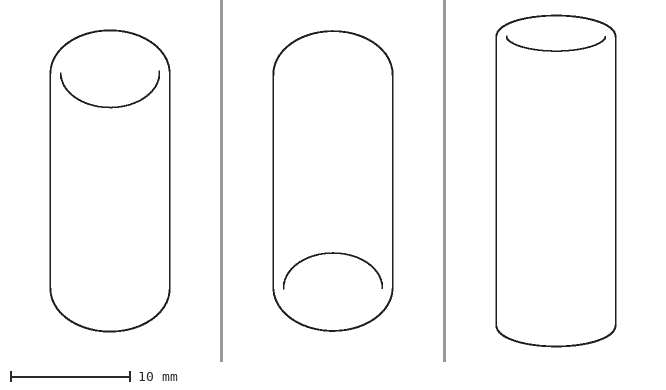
import cadquery as cq

length = 26.0
outer_diameter = 10.0
bore_diameter = 8.25
rim_radius = 0.25

sleeve = (
    cq.Workplane("XY")
    .circle(outer_diameter / 2)
    .circle(bore_diameter / 2)
    .extrude(length)
)

result = sleeve.faces("|Z").edges().fillet(rim_radius)